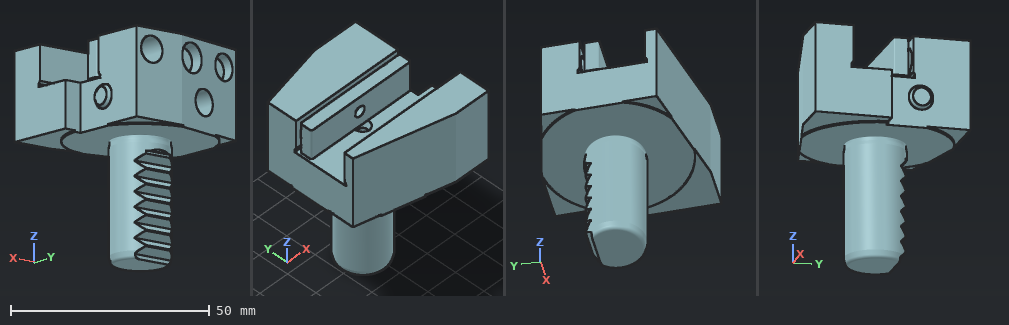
import cadquery as cq
import math


block_length = 42.0
block_depth = 42.0
block_left = -19.0
block_right = block_left + block_length
block_front = -22.0
block_back = block_front + block_depth
block_top = 24.0
taper_start = 15.0
back_taper_end = 3.0
front_taper_end = 11.2
notch_wall_x = 18.0
notch_front_y = -2.0

pad_radius = block_back
pad_height = 0.4

slot_front = -12.0
slot_back = 5.0
slot_floor = 13.0
relief_depth = 0.5
relief_height = 1.5
relief_wall_height = 0.8

shank_radius = 8.0
total_height = 56.0
shank_length = total_height - block_top
neck_radius = 7.8
neck_length = 0.85
neck_taper_end = 1.9
neck_fillet_window = 0.1
neck_top_fillet = 0.1
neck_bottom_fillet = 1.7
end_taper_length = 2.0
end_taper_angle = 15.0
end_fillet = 1.0

tooth_count = 6
tooth_pitch = shank_radius / 2
tooth_flat_y = 6.95
tooth_root_y = 5.1
runout_y = 5.0
first_root_z = -6.65
flat_start_z = -4.05
flat_lead_in = 0.5

plate_length = 36.0
plate_thickness = 4.0
plate_height = 9.9
plate_left = -18.55
plate_front = 0.0
plate_bottom = 13.6
plate_edge_radius = 0.55
plate_back = plate_front + plate_thickness

screw_z = 18.55
set_screw_diameter = 7.0
set_screw_tip_diameter = 4.2
set_screw_xs = (-14.0, 13.0)
set_screw_back = 12.0
clamp_screw_x = -1.0
clamp_screw_diameter = 4.0
clamp_head_diameter = 7.0
clamp_counterbore_diameter = 7.9
clamp_seat_y = 11.0
clamp_head_length = 4.0
clamp_tip_y = 2.0
plate_bore_diameter = 3.3

coolant_z = 7.9
coolant_hole_diameter = 7.0
coolant_hole_x = -6.0
nozzle_y = 7.0
nozzle_diameter = 6.4
nozzle_tip_diameter = 4.7
nozzle_length = 7.0
nozzle_protrusion = 1.0
floor_sink_diameter = 4.6
floor_bore_diameter = 2.7
floor_sink_depth = 1.95
floor_bore_depth = 3.65
drill_point_angle = 118.0


def cylinder_along_y(diameter, x, z, y_start, y_end):
    """Round bar parallel to Y."""
    centre = cq.Vector(x, y_start, z)
    return cq.Workplane(cq.Solid.makeCylinder(diameter / 2, y_end - y_start, centre, cq.Vector(0, 1, 0)))


def domed_pin(diameter, tip_diameter, length):
    """Pin along +Z from the origin, with a spherical end cut to a flat tip at the given length."""
    radius = diameter / 2
    flat_offset = math.sqrt(radius ** 2 - (tip_diameter / 2) ** 2)
    ball_centre = length - flat_offset
    rod = cq.Workplane("XY").circle(radius).extrude(ball_centre)
    tip = cq.Workplane("XY").sphere(radius).translate((0, 0, ball_centre))
    below_flat = cq.Workplane("XY").circle(diameter).extrude(length)
    return rod.union(tip.intersect(below_flat))



def block():
    outline = [
        (block_left, -taper_start),
        (front_taper_end, block_front),
        (block_right, block_front),
        (block_right, notch_front_y),
        (notch_wall_x, notch_front_y),
        (notch_wall_x, block_back),
        (back_taper_end, block_back),
        (block_left, taper_start),
    ]
    full_block = cq.Workplane("XY").polyline(outline).close().extrude(block_top)
    pad = cq.Workplane("XY").circle(pad_radius).extrude(pad_height)
    upper = cq.Workplane("XY").workplane(offset=pad_height)
    upper = upper.rect(2 * block_length, 2 * block_depth).extrude(block_top)
    return full_block.intersect(pad.union(upper))


def slot_cutter():
    """Slot profile in the YZ plane, with a relief in both bottom corners."""
    relief_top = slot_floor + relief_height
    relief_wall_top = slot_floor + relief_wall_height
    profile = [
        (slot_front, block_top),
        (slot_front, relief_top),
        (slot_front - relief_depth, relief_wall_top),
        (slot_front - relief_depth, slot_floor),
        (slot_back + relief_depth, slot_floor),
        (slot_back + relief_depth, relief_wall_top),
        (slot_back, relief_top),
        (slot_back, block_top),
    ]
    return cq.Workplane("YZ").polyline(profile).close().extrude(block_length, both=True)


def neck_circle_at(z):
    """Selects the edge round the shank neck at height z: its centre is on the shank axis."""
    half_window = neck_fillet_window / 2
    return cq.selectors.BoxSelector((-half_window, -half_window, z - half_window),
                                    (half_window, half_window, z + half_window))


def round_shank():
    end_radius = shank_radius - end_taper_length * math.tan(math.radians(end_taper_angle))
    profile = [
        (0, pad_height),
        (neck_radius, pad_height),
        (neck_radius, -neck_length),
        (shank_radius, -neck_taper_end),
        (shank_radius, end_taper_length - shank_length),
        (end_radius, -shank_length),
        (0, -shank_length),
    ]
    shank = cq.Workplane("XZ").polyline(profile).close().revolve(360, (0, 0, 0), (0, 1, 0))
    shank = shank.faces("<Z").edges().fillet(end_fillet)
    return shank.edges(neck_circle_at(-neck_length)).fillet(neck_bottom_fillet)


def tooth_cutter():
    """Everything behind the tooth profile; below the last groove a flank runs out to the shank end."""
    outer_y = 2 * shank_radius
    groove_depth = tooth_flat_y - tooth_root_y
    lead_in_y = (shank_radius + tooth_flat_y) / 2
    profile = [
        (outer_y, flat_start_z + flat_lead_in + outer_y - shank_radius),
        (lead_in_y, flat_start_z),
        (tooth_flat_y, flat_start_z),
    ]
    for index in range(tooth_count):
        root_z = first_root_z - index * tooth_pitch
        profile.append((tooth_flat_y, root_z + groove_depth))
        profile.append((tooth_root_y, root_z))
        profile.append((tooth_flat_y, root_z - groove_depth))
    runout_flank_z = first_root_z - tooth_count * tooth_pitch + groove_depth
    profile.append((tooth_flat_y, runout_flank_z))
    profile.append((runout_y, runout_flank_z - (tooth_flat_y - runout_y)))
    profile.append((runout_y, -2 * shank_length))
    profile.append((outer_y, -2 * shank_length))
    return cq.Workplane("YZ").polyline(profile).close().extrude(shank_radius, both=True)


def floor_hole_cutter():
    """Conical sink in the slot floor on the shank axis, leading to a bore with a drill point."""
    point_depth = floor_bore_diameter / 2 / math.tan(math.radians(drill_point_angle / 2))
    bore_bottom = slot_floor - floor_bore_depth
    profile = [
        (0, slot_floor),
        (floor_sink_diameter / 2, slot_floor),
        (floor_bore_diameter / 2, slot_floor - floor_sink_depth),
        (floor_bore_diameter / 2, bore_bottom),
        (0, bore_bottom - point_depth),
    ]
    return cq.Workplane("XZ").polyline(profile).close().revolve(360, (0, 0, 0), (0, 1, 0))


def make_housing():
    shank = round_shank().cut(tooth_cutter())
    body = block().cut(slot_cutter()).union(shank)
    body = body.edges(neck_circle_at(0)).fillet(neck_top_fillet)
    body = body.cut(floor_hole_cutter())
    for x in set_screw_xs:
        body = body.cut(cylinder_along_y(set_screw_diameter, x, screw_z, slot_back, block_back))
    body = body.cut(cylinder_along_y(clamp_screw_diameter, clamp_screw_x, screw_z, slot_back, clamp_seat_y))
    body = body.cut(cylinder_along_y(clamp_counterbore_diameter, clamp_screw_x, screw_z,
                                     clamp_seat_y, block_back))
    body = body.cut(cylinder_along_y(coolant_hole_diameter, coolant_hole_x, coolant_z, nozzle_y, block_back))
    nozzle_socket = cq.Workplane("YZ", origin=(notch_wall_x, nozzle_y, coolant_z))
    socket_depth = nozzle_length - nozzle_protrusion
    return body.cut(nozzle_socket.circle(nozzle_diameter / 2).extrude(-socket_depth))



def make_plate():
    plate = cq.Workplane("XY").box(plate_length, plate_thickness, plate_height, centered=False)
    plate = plate.edges("|Z").fillet(plate_edge_radius)
    plate = plate.translate((plate_left, plate_front, plate_bottom))
    plate = plate.cut(cylinder_along_y(plate_bore_diameter, clamp_screw_x, screw_z, plate_front, plate_back))
    return plate.cut(cylinder_along_y(clamp_screw_diameter, clamp_screw_x, screw_z, clamp_tip_y, plate_back))



def make_set_screw(x):
    """Domed screw that presses on the back of the plate."""
    pin = domed_pin(set_screw_diameter, set_screw_tip_diameter, set_screw_back - plate_back)
    return pin.rotate((0, 0, 0), (1, 0, 0), 90).translate((x, set_screw_back, screw_z))


def make_clamp_screw():
    """Headed screw that pulls the plate towards the back jaw."""
    rod = cylinder_along_y(clamp_screw_diameter, clamp_screw_x, screw_z, clamp_tip_y, clamp_seat_y)
    head_end = clamp_seat_y + clamp_head_length
    return rod.union(cylinder_along_y(clamp_head_diameter, clamp_screw_x, screw_z, clamp_seat_y, head_end))


def make_nozzle():
    """Domed coolant nozzle standing out of the right side of the back jaw."""
    start_x = notch_wall_x + nozzle_protrusion - nozzle_length
    pin = domed_pin(nozzle_diameter, nozzle_tip_diameter, nozzle_length)
    return pin.rotate((0, 0, 0), (0, 1, 0), 90).translate((start_x, nozzle_y, coolant_z))


housing = make_housing()
plate = make_plate()
set_screws = [make_set_screw(x) for x in set_screw_xs]
clamp_screw = make_clamp_screw()
nozzle = make_nozzle()

bodies = [housing, plate, *set_screws, clamp_screw, nozzle]
result = cq.Compound.makeCompound([body.solids().val() for body in bodies])